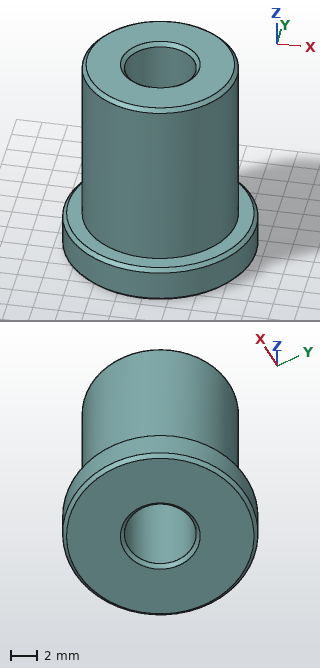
import cadquery as cq

total_height = 17.0
flange_diameter = 15.0
flange_height = 3.0
body_diameter = 12.0
bore_diameter = 5.5
edge_chamfer = 0.3


def chamfered_cylinder(diameter, height, chamfered_edges):
    """Upright cylinder standing on Z = 0 with the selected rims chamfered."""
    cylinder = cq.Workplane("XY").circle(diameter / 2).extrude(height)
    return cylinder.edges(chamfered_edges).chamfer(edge_chamfer)


flange = chamfered_cylinder(flange_diameter, flange_height, "%CIRCLE")
body = chamfered_cylinder(body_diameter, total_height, ">Z")

bushing = flange.union(body).faces(">Z").workplane().hole(bore_diameter)
bore_mouths = bushing.faces("<Z or >Z").edges(cq.selectors.RadiusNthSelector(0))
result = bore_mouths.chamfer(edge_chamfer)